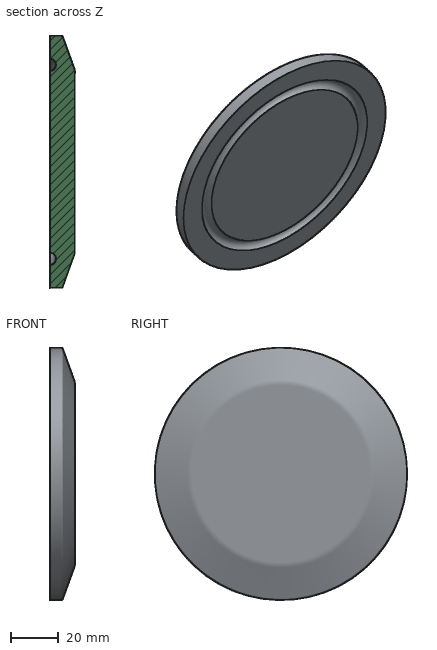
import cadquery as cq

outer_radius = 53.0
thickness = 10.6

rim_width = 5.3
nose_radius = 38.4
rim_fillet = 1.0
nose_fillet = 5.0

groove_inner_radius = 38.3
groove_outer_radius = 43.2
groove_radius = (groove_outer_radius - groove_inner_radius) / 2
groove_centre_radius = (groove_outer_radius + groove_inner_radius) / 2

axis_start = (0, 0, 0)
axis_end = (1, 0, 0)


def make_disc():
    """Cylindrical rim that tapers to a smaller flat face, with the ring groove and rounded edges."""
    disc = (
        cq.Workplane("XY")
        .moveTo(0, 0)
        .lineTo(0, groove_inner_radius)
        .threePointArc((groove_radius, groove_centre_radius), (0, groove_outer_radius))
        .lineTo(0, outer_radius)
        .lineTo(rim_width, outer_radius)
        .lineTo(thickness, nose_radius)
        .lineTo(thickness, 0)
        .close()
        .revolve(360, axis_start, axis_end)
    )
    disc = disc.faces("%CONE").edges("<X").fillet(rim_fillet)
    return disc.faces(">X").edges().fillet(nose_fillet)


result = make_disc().translate((-thickness / 2, 0, 0))